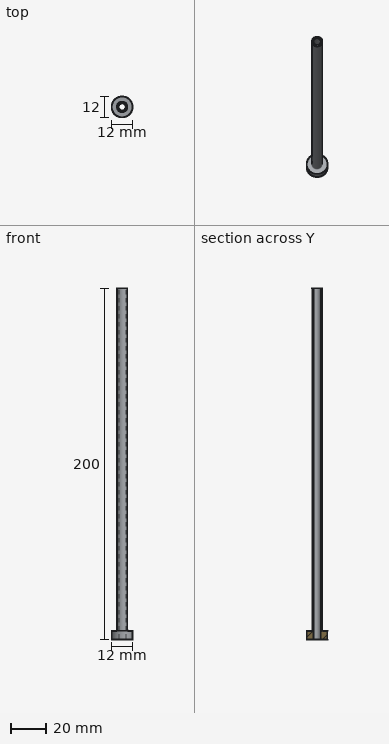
import cadquery as cq

total_length = 200.0
head_diameter = 12.0
head_height = 5.0
tube_diameter = 6.0
bore_diameter = 4.0
root_fillet = 0.5


def cylinder(diameter, height):
    """Upright cylinder standing on the base plane."""
    return cq.Workplane("XY").circle(diameter / 2).extrude(height)


body = cylinder(head_diameter, head_height).union(cylinder(tube_diameter, total_length))

collar_top = body.faces(cq.selectors.NearestToPointSelector((0, 0, head_height)))
body = collar_top.edges(cq.selectors.RadiusNthSelector(0)).fillet(root_fillet)

result = body.cut(cylinder(bore_diameter, total_length))